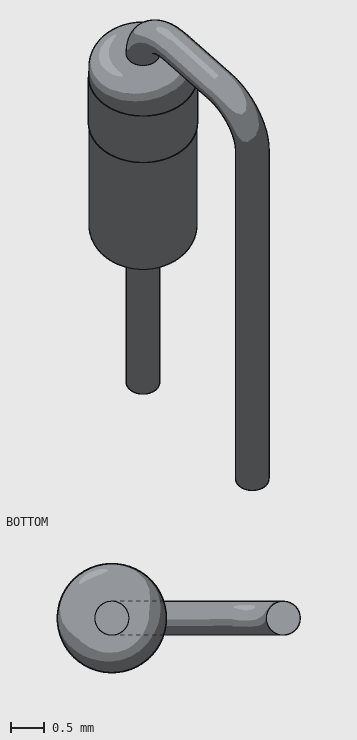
import cadquery as cq
import math

TOTAL_HEIGHT = 8.1
LEAD_PITCH = 2.535

WIRE_DIAMETER = 0.5
BEND_RADIUS = 0.745

BODY_DIAMETER = 1.6
BODY_LENGTH = 4.0
BODY_ROUNDING = 0.3

BAND_DIAMETER = 1.62
BAND_WIDTH = 1.005
BAND_TOP_GAP = 0.5

wire_axis_top = TOTAL_HEIGHT - WIRE_DIAMETER / 2
bend_start = wire_axis_top - BEND_RADIUS
body_top = bend_start
body_bottom = body_top - BODY_LENGTH
band_bottom = body_top - BAND_TOP_GAP - BAND_WIDTH


def make_wire():
    """One wire through the body, bent over and back down beside it."""
    bend_offset = BEND_RADIUS * math.sqrt(0.5)
    bend_middle = bend_start + bend_offset
    first_bend_x = BEND_RADIUS
    second_bend_x = LEAD_PITCH - BEND_RADIUS
    path = (
        cq.Workplane("XZ")
        .moveTo(0, 0)
        .lineTo(0, bend_start)
        .threePointArc((first_bend_x - bend_offset, bend_middle), (first_bend_x, wire_axis_top))
        .lineTo(second_bend_x, wire_axis_top)
        .threePointArc((second_bend_x + bend_offset, bend_middle), (LEAD_PITCH, bend_start))
        .lineTo(LEAD_PITCH, 0)
    )
    return cq.Workplane("XY").circle(WIRE_DIAMETER / 2).sweep(path)


def make_body():
    """Rounded cylinder with a through hole for the wire."""
    cylinder = (
        cq.Workplane("XY", origin=(0, 0, body_bottom))
        .circle(BODY_DIAMETER / 2)
        .extrude(BODY_LENGTH)
        .edges()
        .fillet(BODY_ROUNDING)
    )
    wire_hole = (
        cq.Workplane("XY", origin=(0, 0, body_bottom))
        .circle(WIRE_DIAMETER / 2)
        .extrude(BODY_LENGTH)
    )
    return cylinder.cut(wire_hole)


def make_band():
    """Thin sleeve around the upper part of the body."""
    return (
        cq.Workplane("XY", origin=(0, 0, band_bottom))
        .circle(BAND_DIAMETER / 2)
        .circle(BODY_DIAMETER / 2)
        .extrude(BAND_WIDTH)
    )


wire = make_wire()
body = make_body()
band = make_band()

result = cq.Compound.makeCompound([wire.val(), body.val(), band.val()])